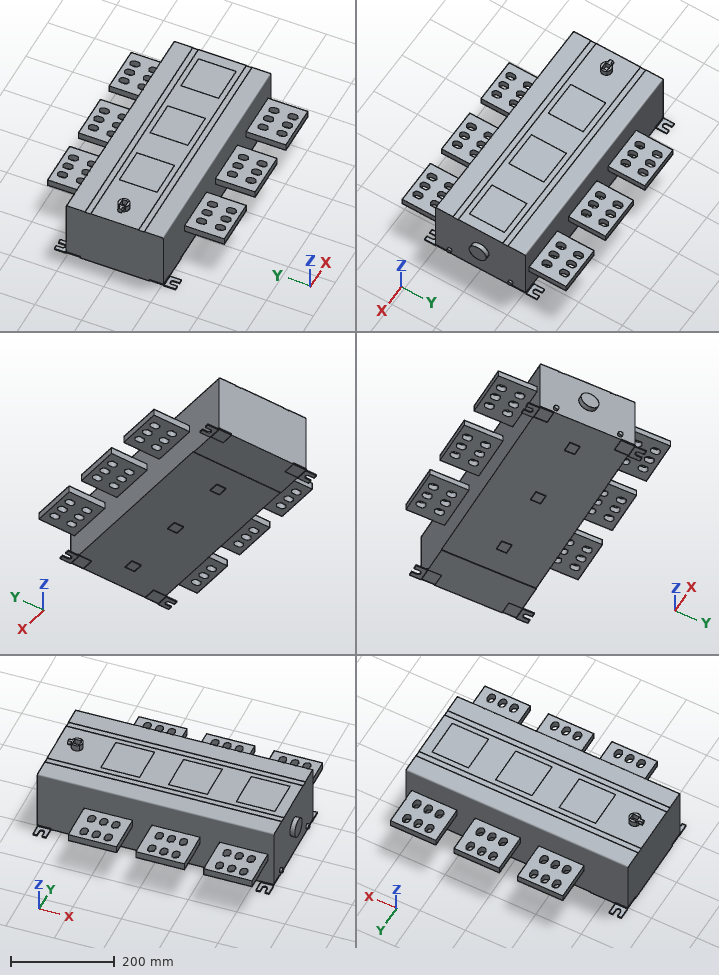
import cadquery as cq
import math

housing_length = 490.5
housing_width = 207.0
housing_top = 133.0
housing_floor = 3.5
top_edge_radius = 3.5
half_width = housing_width / 2

low_floor = 1.5
low_floor_length = 84.0

groove_width = 12.0
groove_depth = 1.0
groove_offset = 57.0

first_pole = 147.0
pole_pitch = 140.0
pole_count = 3
pole_positions = [first_pole + i * pole_pitch for i in range(pole_count)]

bar_width = 100.0
bar_thickness = 15.0
bar_span = 376.5
bar_height = 70.0
hole_width = 14.0
hole_length = 20.0
hole_pitch = 25.0
hole_row_distances = (20.0, 60.0)

window_size = 80.0
window_depth = 0.5
pad_size = 22.0

foot_width = 27.0
foot_inset = 1.0
foot_thickness = 3.0
foot_reach = 25.5
foot_joggle = 2.0
foot_bend = 1.5
foot_root = 30.0
foot_slot_width = 10.0
foot_slot_depth = 17.0

knob_x = 42.5
knob_radius = 11.5
overall_height = 146.0
knob_height = overall_height - housing_top
socket_length = 14.0
socket_width = 12.0
screw_reach = 18.0
screw_flats = 10.0
screw_sides = 6
screw_corners = screw_flats / math.cos(math.pi / screw_sides)

shaft_radius = 19.5
shaft_length = 10.0
pin_radius = 5.0
pin_length = 5.0
pin_offset = 70.0
pin_height = 15.5


def block(x_start, x_end, y_start, y_end, z_start, z_end):
    """Box between pairs of X, Y and Z limits."""
    size = (x_end - x_start, y_end - y_start, z_end - z_start)
    return cq.Workplane("XY").box(*size, centered=False).translate((x_start, y_start, z_start))


def end_cylinder(radius, length, y, z):
    """Cylinder standing out from the right end face."""
    return cq.Workplane("YZ", origin=(housing_length, y, z)).circle(radius).extrude(length)


def make_housing():
    body = block(0, housing_length, -half_width, half_width, housing_floor, housing_top)
    body = body.edges("|X and >Z").fillet(top_edge_radius)
    body = body.union(block(0, low_floor_length, -half_width, half_width, low_floor, housing_floor))
    for y in (-groove_offset, groove_offset):
        body = body.cut(block(0, housing_length, y - groove_width / 2, y + groove_width / 2,
                              housing_top - groove_depth, housing_top))
    for x in pole_positions:
        body = body.cut(block(x - window_size / 2, x + window_size / 2, -window_size / 2, window_size / 2,
                              housing_top - window_depth, housing_top))
        body = body.union(block(x - pad_size / 2, x + pad_size / 2, -pad_size / 2, pad_size / 2,
                                low_floor, housing_floor))
    return body


def make_bar(x):
    """Terminal bar running through the housing, with two rows of slots at each end."""
    bar = cq.Workplane("XY").box(bar_width, bar_span, bar_thickness)
    hole_points = [
        (column * hole_pitch, side * (bar_span / 2 - distance))
        for column in (-1, 0, 1)
        for side in (-1, 1)
        for distance in hole_row_distances
    ]
    holes = cq.Workplane("XY").pushPoints(hole_points).slot2D(hole_length, hole_width, 90)
    holes = holes.extrude(bar_thickness, both=True)
    return bar.cut(holes).translate((x, 0, bar_height))


def make_foot():
    """Fork at the left front corner."""
    x_end = foot_inset + foot_width
    tip = -half_width - foot_reach
    fork = block(foot_inset, x_end, tip, -half_width, 0, foot_thickness)
    slot_center = foot_inset + foot_width / 2
    slot = (cq.Workplane("XY").center(slot_center, tip)
            .slot2D(2 * foot_slot_depth, foot_slot_width, 90).extrude(foot_thickness))
    root = block(foot_inset, x_end, -half_width - foot_bend, -half_width + foot_root,
                 foot_joggle, foot_joggle + foot_thickness)
    return fork.cut(slot).union(root)


def make_foot_recess():
    """Corner relief in the housing that receives the root of a foot."""
    return block(0, foot_inset + foot_width, -half_width, -half_width + foot_root,
                 0, foot_joggle + foot_thickness)


def at_corners(shape):
    """Copies of a left front corner shape at all four corners of the housing."""
    center = (housing_length / 2, 0, 0)
    front = shape.union(shape.mirror("YZ", center))
    return front.union(front.mirror("XZ", center))


def make_knob():
    screw = (cq.Workplane("YZ", origin=(-screw_reach, 0, knob_height - screw_flats / 2))
             .polygon(screw_sides, screw_corners).extrude(screw_reach))
    knob = cq.Workplane("XY").circle(knob_radius).extrude(knob_height).union(screw)
    socket = cq.Workplane("XY").rect(socket_length, socket_width).extrude(knob_height)
    return knob.cut(socket).translate((knob_x, 0, housing_top))


result = make_housing().cut(at_corners(make_foot_recess())).union(at_corners(make_foot()))
for pole_x in pole_positions:
    result = result.union(make_bar(pole_x))
result = result.union(make_knob())
result = result.union(end_cylinder(shaft_radius, shaft_length, 0, bar_height))
for pin_y in (-pin_offset, pin_offset):
    result = result.union(end_cylinder(pin_radius, pin_length, pin_y, pin_height))